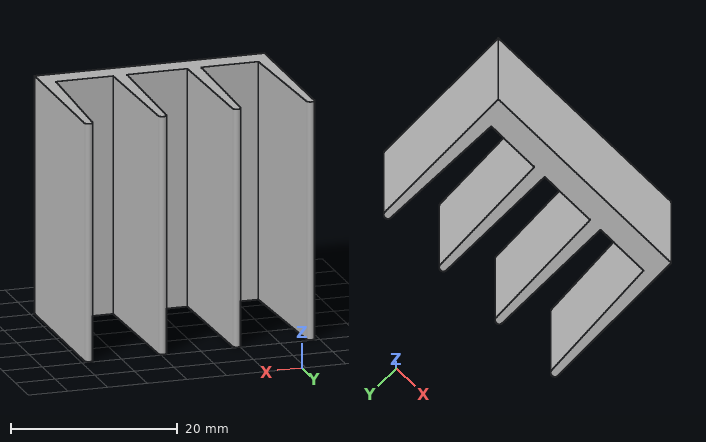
import cadquery as cq

width = 29.0
depth = 20.0
height = 30.0

base_thickness = 3.0
fin_root = 1.75
fin_tip = 1.02
inner_fin_offset = 4.68
tip_radius = fin_tip / 2
tip_start = depth - tip_radius


def fin(root_left, root_right, tip_left, tip_right):
    """A tapered fin with a round tip, rising along +Y out of the base plate."""
    tip_middle = (tip_left + tip_right) / 2
    return (
        cq.Workplane("XY")
        .moveTo(root_left, 0)
        .lineTo(root_left, base_thickness)
        .lineTo(tip_left, tip_start)
        .threePointArc((tip_middle, depth), (tip_right, tip_start))
        .lineTo(root_right, base_thickness)
        .lineTo(root_right, 0)
        .close()
        .extrude(height)
    )


result = cq.Workplane("XY").box(width, base_thickness, height, centered=(True, False, False))

edge = width / 2
left_fin = fin(-edge, -edge + fin_root, -edge, -edge + fin_tip)
result = result.union(left_fin).union(left_fin.mirror("YZ"))

for centre in (-inner_fin_offset, inner_fin_offset):
    inner_fin = fin(centre - fin_root / 2, centre + fin_root / 2, centre - fin_tip / 2, centre + fin_tip / 2)
    result = result.union(inner_fin)